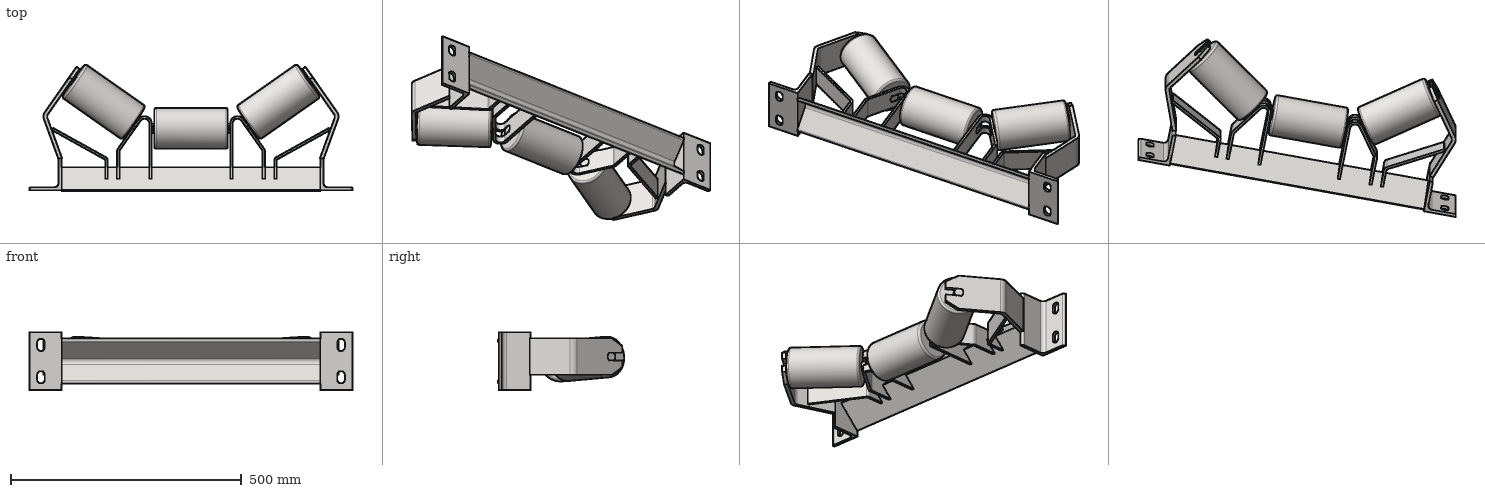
import cadquery as cq
import math


angle_leg = 70.0
angle_thickness = 7.0
toe_radius = 4.0
root_radius = 9.0
beam_length = 560.0

bracket_height = 125.0
bracket_front = 2.0
flange_slot_width = 16.0
flange_slot_height = 26.0
flange_slot_spacing = 70.0
flange_slot_inset = 25.0
arm_thickness = 8.5
arm_height = 80.0
arm_mid_z = 10.0
arm_weld_depth = 1.5
arm_flare_angle = 20.0
arm_bend_y = 164.0
arm_bend_radius = 8.5
arm_upper_length = 127.0
arm_corner_length = 28.0
arm_corner_height = 17.0

trough_angle = 35.0
forward_tilt = 3.0
roller_length = 159.5
roller_diameter = 89.0
roller_edge_radius = 5.0
centre_roller_y = 136.5
side_roller_x = -189.0
side_roller_y = 194.0
side_roller_z = 5.0

shaft_diameter = 20.0
shaft_flat_width = 17.0
shoulder_overhang = 2.0
slot_end_clearance = 14.0
slot_depth = 84.0

plate_thickness = 5.5
plate_height = 50.0
plate_bend_radius = 3.0
hairpin_inner_x = -87.5
hairpin_outer_x = -157.5
hairpin_bend_y = 89.0
hairpin_top_radius = 10.5
strut_x = -183.0
strut_bend_y = 70.0
strut_angle = 29.0


def heading(angle):
    """Unit vector in the XY plane, leaning `angle` degrees from +Y towards +X."""
    return cq.Vector(math.sin(math.radians(angle)), math.cos(math.radians(angle)))


def crossing(point_a, direction_a, point_b, direction_b):
    """Point where two lines in the XY plane meet."""
    turn = direction_a.cross(direction_b).z
    return point_a + direction_a * ((point_b - point_a).cross(direction_b).z / turn)


def bent_plate(centre_line, bend_radii, thickness, height, mid_z):
    """Upright plate along a centre line, with each bend rounded concentrically."""
    steps = [(end - start).normalized() for start, end in zip(centre_line, centre_line[1:])]
    befores = [steps[0]] + steps
    afters = steps + [steps[-1]]
    left = []
    right = []
    for point, before, after in zip(centre_line, befores, afters):
        left_normals = cq.Vector(-before.y - after.y, before.x + after.x)
        miter = left_normals * (thickness / 2 / (1 + before.dot(after)))
        left.append(point + miter)
        right.append(point - miter)

    outline = [point.toTuple()[:2] for point in left + right[::-1]]
    base = cq.Workplane("XY").workplane(offset=mid_z - height / 2)
    plate = base.polyline(outline).close().extrude(height)

    for i, inner_radius in enumerate(bend_radii):
        turns_left = steps[i].cross(steps[i + 1]).z > 0
        sides = (left, right) if turns_left else (right, left)
        for side, radius in zip(sides, (inner_radius, inner_radius + thickness)):
            corner = side[i + 1]
            edge = cq.selectors.NearestToPointSelector((corner.x, corner.y, mid_z))
            plate = plate.edges(edge).fillet(radius)
    return plate


def angle_outline(plane):
    """Rolled angle section: outer corner at the origin, legs along the plane's two axes."""
    inner = angle_thickness + root_radius
    toe_start = angle_leg - toe_radius
    toe_edge = angle_thickness - toe_radius
    arc_middle = math.sqrt(0.5)
    toe_middle = (toe_start + toe_radius * arc_middle, toe_edge + toe_radius * arc_middle)
    root_middle = inner - root_radius * arc_middle
    return (
        cq.Workplane(plane)
        .lineTo(angle_leg, 0)
        .lineTo(angle_leg, toe_edge)
        .threePointArc(toe_middle, (toe_start, angle_thickness))
        .lineTo(inner, angle_thickness)
        .threePointArc((root_middle, root_middle), (angle_thickness, inner))
        .lineTo(angle_thickness, toe_start)
        .threePointArc(toe_middle[::-1], (toe_edge, angle_leg))
        .lineTo(0, angle_leg)
        .close()
    )


def with_mirror(shape):
    """A -X side shape together with its +X side copy."""
    return [shape, shape.mirror("YZ")]


diagonal = math.sqrt(0.5)
beam_corner_y = (angle_leg + angle_thickness - toe_radius) * diagonal + toe_radius * (1 - diagonal)
bracket_corner_x = -beam_length / 2
plates_front_y = beam_corner_y - plate_height / 2

arm_foot = cq.Vector(bracket_corner_x - angle_thickness / 2, bracket_front + angle_leg)
arm_bend = arm_foot + heading(-arm_flare_angle) * (
    (arm_bend_y - arm_foot.y) / math.cos(math.radians(arm_flare_angle))
)
arm_tip = arm_bend + heading(trough_angle) * arm_upper_length
hairpin_bend = cq.Vector(hairpin_outer_x, hairpin_bend_y)

side_centre = cq.Vector(side_roller_x, side_roller_y, side_roller_z)
level_axis = heading(90 + trough_angle)
tilt = math.radians(forward_tilt)
side_axis = level_axis * math.cos(tilt) - cq.Vector(0, 0, math.sin(tilt))
side_plane = cq.Plane(
    origin=side_centre,
    xDir=side_axis,
    normal=side_axis.cross(heading(trough_angle)),
)
side_place = cq.Location(side_plane)
centre_place = cq.Location(cq.Vector(0, centre_roller_y, 0))

centre_reach = abs(hairpin_inner_x) + plate_thickness / 2
side_outer_reach = (side_centre - arm_bend).dot(level_axis) + arm_thickness / 2
side_inner_reach = (hairpin_bend - side_centre).dot(level_axis) + plate_thickness / 2


def roller():
    """Hollow roller about the X axis."""
    return (
        cq.Workplane("YZ")
        .workplane(offset=-roller_length / 2)
        .circle(roller_diameter / 2)
        .extrude(roller_length)
        .edges()
        .fillet(roller_edge_radius)
        .faces(">X")
        .workplane()
        .hole(shaft_diameter)
    )


def rod_along_x(start, end):
    return cq.Workplane("YZ").workplane(offset=start).circle(shaft_diameter / 2).extrude(end - start)


def box_between(start, end, y_start, y_end):
    """Block as thick as the shaft flats, from start to end along X."""
    size_y = y_end - y_start
    middle = ((start + end) / 2, (y_start + y_end) / 2, 0)
    return cq.Workplane("XY").box(end - start, size_y, shaft_flat_width).translate(middle)


def shaft(start, end):
    """Shaft along the X axis, full round inside the roller and flat-sided at both ends."""
    shoulder = roller_length / 2 + shoulder_overhang
    flat_core = box_between(start, end, -shaft_diameter / 2, shaft_diameter / 2)
    return rod_along_x(start, end).intersect(flat_core).union(rod_along_x(-shoulder, shoulder))


def shaft_slots(start, end):
    """Cutter for the open slots that hold a shaft; they open towards +Y."""
    slot_start = start - slot_end_clearance
    slot_end = end + slot_end_clearance
    seat = box_between(slot_start, slot_end, -shaft_diameter / 2, 0)
    seat = seat.intersect(rod_along_x(slot_start, slot_end))
    return seat.union(box_between(slot_start, slot_end, 0, slot_depth))


side_slots = shaft_slots(-side_outer_reach, side_inner_reach).val().moved(side_place)
centre_slots = shaft_slots(-centre_reach, centre_reach).val().moved(centre_place)


def beam():
    """Angle section on its corner: the corner points to +Y and the legs open to -Y."""
    section_plane = cq.Plane(
        origin=(-beam_length / 2, beam_corner_y, 0),
        xDir=(0, -1, 1),
        normal=(1, 0, 0),
    )
    return angle_outline(section_plane).extrude(beam_length)


def beam_hollow():
    """Triangular space between the legs, bounded by the outer faces of the beam."""
    half_height = angle_leg * diagonal
    front_y = beam_corner_y - half_height
    return (
        cq.Workplane("YZ")
        .polyline([(beam_corner_y, 0), (front_y, half_height), (front_y, -half_height)])
        .close()
        .extrude(beam_length / 2, both=True)
    )


def hairpin():
    """Plate folded into a narrow arch between the side roller and the centre roller."""
    inner_foot = cq.Vector(hairpin_inner_x, plates_front_y)
    apex = crossing(hairpin_bend, heading(trough_angle), inner_foot, heading(0))
    path = [cq.Vector(hairpin_outer_x, plates_front_y), hairpin_bend, apex, inner_foot]
    radii = [plate_bend_radius, hairpin_top_radius]
    plate = bent_plate(path, radii, plate_thickness, plate_height, 0)
    return plate.cut(cq.Workplane(side_slots)).cut(cq.Workplane(centre_slots))


def strut():
    """Bent plate that props the lower arm; its square end touches the arm with one edge."""
    foot = cq.Vector(strut_x, plates_front_y)
    bend = cq.Vector(strut_x, strut_bend_y)
    direction = heading(strut_angle - 90)
    arm_direction = heading(-arm_flare_angle)
    arm_normal = heading(90 - arm_flare_angle)
    arm_face = arm_bend + arm_normal * (arm_thickness / 2)
    contact = crossing(bend, direction, arm_face, arm_direction)
    lean = arm_direction.dot(direction) / abs(arm_normal.dot(direction))
    end = contact - direction * (plate_thickness / 2 * lean)
    return bent_plate([foot, bend, end], [plate_bend_radius], plate_thickness, plate_height, 0)


def frame():
    """Beam with the hairpins and struts welded to its back."""
    body = beam()
    hollow = beam_hollow()
    for plate in (hairpin(), strut()):
        for copy in with_mirror(plate.cut(hollow)):
            body = body.union(copy)
    return body


def arm():
    """Flat bar that leans out from the bracket and back along the end of the side roller."""
    root = arm_foot - heading(-arm_flare_angle) * arm_weld_depth
    bar = bent_plate([root, arm_bend, arm_tip], [arm_bend_radius], arm_thickness, arm_height, arm_mid_z)

    tip_plane = cq.Plane(
        origin=(arm_tip.x, arm_tip.y, arm_mid_z),
        xDir=heading(trough_angle),
        normal=level_axis,
    )
    half_height = arm_height / 2
    for side in (1, -1):
        corner = (
            cq.Workplane(tip_plane)
            .moveTo(0, side * half_height)
            .lineTo(-arm_corner_length, side * half_height)
            .lineTo(0, side * (half_height - arm_corner_height))
            .close()
            .extrude(arm_thickness, both=True)
        )
        bar = bar.cut(corner)
    return bar.cut(cq.Workplane(side_slots))


def bracket():
    """Angle section with two mounting slots in its flange, welded to the roller arm."""
    section_plane = cq.Plane(
        origin=(bracket_corner_x, bracket_front, bracket_height / 2),
        xDir=(-1, 0, 0),
        normal=(0, 0, -1),
    )
    foot = angle_outline(section_plane).extrude(bracket_height)
    slot_x = bracket_corner_x - angle_leg + flange_slot_inset
    slots = (
        cq.Workplane("XZ")
        .pushPoints([(slot_x, side * flange_slot_spacing / 2) for side in (1, -1)])
        .slot2D(flange_slot_height, flange_slot_width, 90)
        .extrude(-bracket_front - angle_thickness)
    )
    return foot.cut(slots).union(arm())


centre_roller = roller().val().moved(centre_place)
side_roller = roller().val().moved(side_place)
centre_shaft = shaft(-centre_reach, centre_reach).val().moved(centre_place)
side_shaft = shaft(-side_outer_reach, side_inner_reach).val().moved(side_place)

result = cq.Compound.makeCompound([
    frame().val(),
    *with_mirror(bracket().val()),
    centre_roller,
    *with_mirror(side_roller),
    centre_shaft,
    *with_mirror(side_shaft),
])